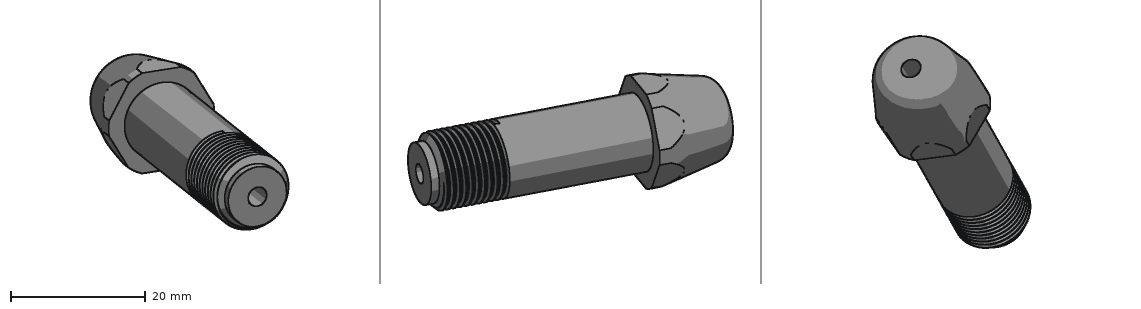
import cadquery as cq
import math

total_length = 48.5
head_length = 13.5
neck_length = 1.3
neck_start = total_length - neck_length

across_flats = 16.0
corner_diameter = 17.2
corner_radius = corner_diameter / 2
corner_band_start = 11.65
nose_face_radius = 3.65
nose_round = 3.0
cone_angle = math.radians(12.7)

shank_radius = 6.0
neck_radius = 4.75
end_chamfer_length = 0.75
bore_diameter = 3.0

pitch = 1.0
thread_depth = 0.55
root_width = 0.25
flank_angle = math.radians(30)
shank_seam_angle = 150
thread_start = 35.7
cutter_overlap = 0.1
run_out = 0.25


def make_head():
    """Turned nose profile intersected with a hexagonal bar, flats facing +Z and -Z."""
    tangent_x = nose_round * (1 - math.sin(cone_angle))
    tangent_r = nose_face_radius + nose_round * math.cos(cone_angle)
    mid_angle = (math.pi / 2 + cone_angle) / 2
    middle_x = nose_round * (1 - math.sin(mid_angle))
    middle_r = nose_face_radius + nose_round * math.cos(mid_angle)
    turned = (
        cq.Workplane("XY")
        .lineTo(0, nose_face_radius)
        .threePointArc((middle_x, middle_r), (tangent_x, tangent_r))
        .lineTo(corner_band_start, corner_radius)
        .lineTo(head_length, corner_radius)
        .lineTo(head_length, 0)
        .close()
        .revolve(360, (0, 0), (1, 0))
    )
    across_corners = across_flats / math.cos(math.pi / 6)
    hexagon = cq.Workplane("YZ").polygon(6, across_corners).extrude(head_length)
    return turned.intersect(hexagon)


def make_shank():
    """Cylindrical shank with a chamfered end stepping down to the neck."""
    return (
        cq.Workplane("XY")
        .moveTo(head_length, 0)
        .lineTo(head_length, shank_radius)
        .lineTo(neck_start - end_chamfer_length, shank_radius)
        .lineTo(neck_start, neck_radius)
        .lineTo(total_length, neck_radius)
        .lineTo(total_length, 0)
        .close()
        .revolve(360, (0, 0), (1, 0))
        .rotate((0, 0, 0), (1, 0, 0), shank_seam_angle)
    )


def make_thread_groove():
    """Helical groove cutter, starting on the +Z side and advancing toward +X."""
    root_radius = shank_radius - thread_depth
    outer_radius = shank_radius + cutter_overlap
    edge_width = thread_depth * math.tan(flank_angle)
    overlap_width = cutter_overlap * math.tan(flank_angle)
    outer_half_width = root_width / 2 + edge_width + overlap_width
    groove_center = thread_start + root_width / 2 + edge_width

    travel = neck_start + run_out - thread_start
    helix = cq.Wire.makeHelix(pitch, travel, root_radius)
    groove = (
        cq.Workplane("XZ")
        .polyline([
            (root_radius, -root_width / 2),
            (outer_radius, -outer_half_width),
            (outer_radius, outer_half_width),
            (root_radius, root_width / 2),
        ])
        .close()
        .sweep(cq.Workplane(obj=helix), isFrenet=True)
    )
    return (
        groove
        .rotate((0, 0, 0), (0, 0, 1), 180)
        .rotate((0, 0, 0), (0, 1, 0), 90)
        .translate((groove_center, 0, 0))
    )


bore = cq.Workplane("YZ").circle(bore_diameter / 2).extrude(total_length)
threaded_shank = make_shank().cut(make_thread_groove())
result = make_head().union(threaded_shank).cut(bore)